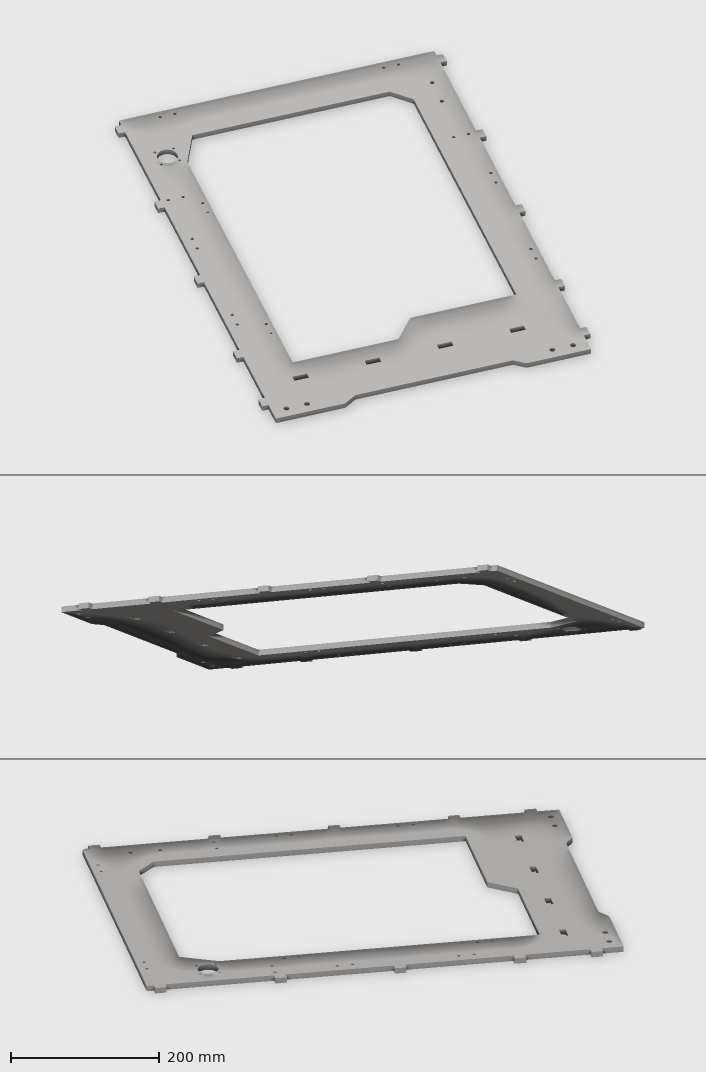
import cadquery as cq

length = 654.5
overall_width = 466.5
thickness = 8.0
tab_height = 9.0
tab_width = 16.0

half_length = length / 2
half_width = overall_width / 2 - tab_height

recess_depth = 12.0
recess_top_outer = 132.0
recess_top_inner = 117.0
recess_bottom_outer = -125.5
recess_bottom_inner = -107.0

window_left = -266.0
window_right = 224.0
window_step_right = 187.0
window_top = 165.5
window_bottom = -165.0
window_corner = 25.5
window_ramp_length = 50.5
window_ramp_rise = 24.0
window_step_top = 14.5
window_step_bottom = -14.5

tab_pitch = 164.0
middle_tab_x = 19.5
left_tab_x = -309.5
right_tab_x = 289.0
tab_places = [
    left_tab_x,
    middle_tab_x - tab_pitch,
    middle_tab_x,
    middle_tab_x + tab_pitch,
    right_tab_x,
]

slot_width = 9.0
slot_length = 21.0
slot_pitch = 103.0
slot_count = 4
slot_x = 256.5
slot_middle_y = -10.5

screw_diameter = 4.5
pair_spacing = 21.0
side_pair_x = -316.0
side_pair_y = 159.0
end_pair_x = -149.0
end_pair_top_y = 201.5
end_pair_bottom_y = -204.0
long_edge_pair_places = [-52.5, 114.5]
long_edge_top_y = 214.5
long_edge_bottom_y = -210.0

pin_diameter = 3.0
pin_offset = 20.0
pin_pair_places = [-128.0, 137.0]
pin_pair_y = -173.0

hanger_diameter = 6.0
hanger_places = [-265.5, -225.0]
hanger_y = 200.0

corner_hole_diameter = 8.0
corner_hole_spacing = 29.5
corner_hole_x = 311.5
corner_pair_places = [189.0, -189.0]

port_x = -235.5
port_y = -186.5
port_diameter = 28.0
port_pin_spacing = 26.0
port_pin_diameter = 4.0


def pair_along_x(x, y, spacing):
    return [(x - spacing / 2, y), (x + spacing / 2, y)]


def pair_along_y(x, y, spacing):
    return [(x, y - spacing / 2), (x, y + spacing / 2)]


def drill(body, points, diameter):
    return body.cut(cq.Workplane("XY").pushPoints(points).circle(diameter / 2).extrude(thickness))


def make_plate():
    recess_x = half_length - recess_depth
    outline = [
        (-half_length, -half_width),
        (half_length, -half_width),
        (half_length, recess_bottom_outer),
        (recess_x, recess_bottom_inner),
        (recess_x, recess_top_inner),
        (half_length, recess_top_outer),
        (half_length, half_width),
        (-half_length, half_width),
    ]
    return cq.Workplane("XY").polyline(outline).close().extrude(thickness)


def make_tabs():
    return (
        cq.Workplane("XY")
        .pushPoints([(x, 0) for x in tab_places])
        .rect(tab_width, overall_width)
        .extrude(thickness)
    )


def make_window():
    outline = [
        (window_left, window_bottom + window_ramp_rise),
        (window_left, window_top - window_corner),
        (window_left + window_corner, window_top),
        (window_step_right, window_top),
        (window_step_right, window_step_top),
        (window_right, window_step_bottom),
        (window_right, window_bottom),
        (window_left + window_ramp_length, window_bottom),
    ]
    return cq.Workplane("XY").polyline(outline).close().extrude(thickness)


def make_slots():
    return (
        cq.Workplane("XY")
        .center(slot_x, slot_middle_y)
        .rarray(6.5, slot_pitch, 1, slot_count)
        .rect(slot_width, slot_length)
        .extrude(thickness)
    )


def screw_points():
    points = []
    for y in (side_pair_y, -side_pair_y):
        points += pair_along_y(side_pair_x, y, pair_spacing)
    for y in (end_pair_top_y, end_pair_bottom_y):
        points += pair_along_y(end_pair_x, y, pair_spacing)
    for x in long_edge_pair_places:
        for y in (long_edge_top_y, long_edge_bottom_y):
            points += pair_along_x(x, y, pair_spacing)
    points += [(x, pin_pair_y) for x in pin_pair_places]
    return points


def corner_hole_points():
    points = []
    for y in corner_pair_places:
        points += pair_along_y(corner_hole_x, y, corner_hole_spacing)
    return points


def port_pin_points():
    offset = port_pin_spacing / 2
    return [(port_x + i * offset, port_y + j * offset) for i in (-1, 1) for j in (-1, 1)]


panel = make_plate().union(make_tabs()).cut(make_window()).cut(make_slots())
panel = drill(panel, screw_points(), screw_diameter)
panel = drill(panel, [(x + pin_offset, pin_pair_y) for x in pin_pair_places], pin_diameter)
panel = drill(panel, [(x, hanger_y) for x in hanger_places], hanger_diameter)
panel = drill(panel, corner_hole_points(), corner_hole_diameter)
panel = drill(panel, [(port_x, port_y)], port_diameter)
result = drill(panel, port_pin_points(), port_pin_diameter)